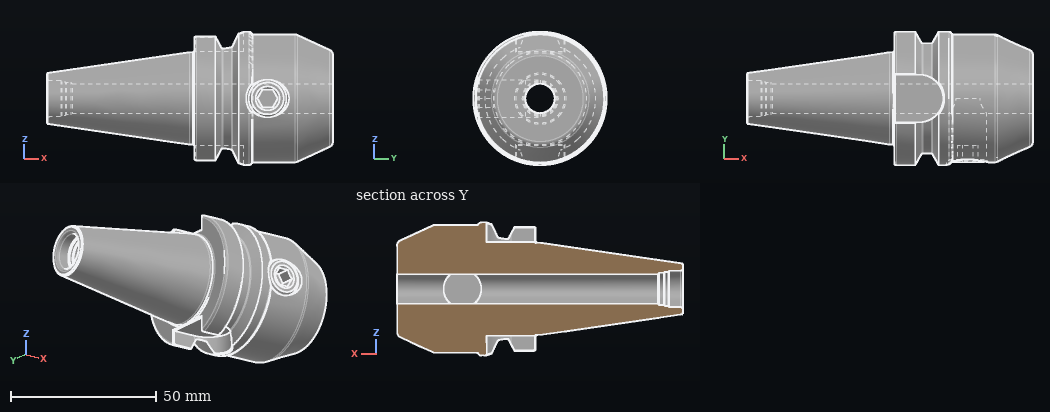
import cadquery as cq
import math


LENGTH = 98.6
MAX_DIAMETER = 46.0
MAX_RADIUS = MAX_DIAMETER / 2
BODY_RADIUS = 22.1

TAPER_LENGTH = 49.0
TAPER_SLOPE = 7 / 48
SHANK_END_RADIUS = 8.8
SHANK_END_CHAMFER = 0.4
NECK_FILLET = 0.5

FLANGE_START = 50.7
FLANGE_END = 58.0
FLANGE_FILLET = 0.8
COLLAR_START = 66.1
GROOVE_RADIUS = 19.0
GROOVE_FILLET = 0.4
FLANK_ANGLE = 60.0
COLLAR_END = 69.5
COLLAR_STEP_LENGTH = 1.5
COLLAR_STEP_SPLIT = 2 / 3

NOSE_START = 85.8
NOSE_ANGLE = 24.7
NOSE_START_FILLET = 2.2
NOSE_END_FILLET = 2.2

BORE_RADIUS = 5.0
PILOT_RADIUS = 6.2
BORE_STEPS = [(PILOT_RADIUS, 4.7), (5.8, 6.3), (5.5, 8.3), (BORE_RADIUS, LENGTH)]
PILOT_LIP_FILLET = 1.0

SLOT_HALF_WIDTH = 8.2
SLOT_TIP = 67.6
SLOT_FLOOR = 16.2
SLOT_CHAMFER = 0.4

SCREW_X = 76.0
SCREW_RADIUS = 6.5
SCREW_CHAMFER = 1.0
SCREW_RECESS = 0.1
SCREW_FACE = BODY_RADIUS - SCREW_RECESS
SCREW_TIP = BORE_RADIUS
COUNTERSINK_RADIUS = 7.4
HEX_ACROSS_FLATS = 6.1
HEX_DEPTH = 5.9
HEX_MOUTH_RADIUS = 4.1
HEX_MOUTH_ANGLE = 60.0

CUT_OVERRUN = 1.0
TOLERANCE = 0.01


def ring_edges(solid, x, radius):
    """Circular edges centred on the axis at station x with the given radius."""
    return solid.edges("%CIRCLE").filter(
        lambda edge: abs(edge.Center().x - x) < TOLERANCE and abs(edge.radius() - radius) < TOLERANCE
    )


def turned_blank():
    """Outside of the holder as one turned shape."""
    neck_radius = SHANK_END_RADIUS + TAPER_SLOPE * TAPER_LENGTH
    flank_run = (MAX_RADIUS - GROOVE_RADIUS) / math.tan(math.radians(FLANK_ANGLE))
    groove_start = FLANGE_END + flank_run
    groove_end = COLLAR_START - flank_run
    step_drop = MAX_RADIUS - BODY_RADIUS
    step_end = COLLAR_END + COLLAR_STEP_LENGTH
    nose_end_radius = BODY_RADIUS - (LENGTH - NOSE_START) * math.tan(math.radians(NOSE_ANGLE))

    blank = (
        cq.Workplane("XZ")
        .moveTo(0, 0)
        .lineTo(0, SHANK_END_RADIUS - SHANK_END_CHAMFER)
        .lineTo(SHANK_END_CHAMFER, SHANK_END_RADIUS + TAPER_SLOPE * SHANK_END_CHAMFER)
        .lineTo(TAPER_LENGTH, neck_radius)
        .lineTo(FLANGE_START, neck_radius)
        .lineTo(FLANGE_START, MAX_RADIUS)
        .lineTo(FLANGE_END, MAX_RADIUS)
        .lineTo(groove_start, GROOVE_RADIUS)
        .lineTo(groove_end, GROOVE_RADIUS)
        .lineTo(COLLAR_START, MAX_RADIUS)
        .lineTo(COLLAR_END, MAX_RADIUS)
        .tangentArcPoint(
            (COLLAR_STEP_LENGTH * COLLAR_STEP_SPLIT, -step_drop * COLLAR_STEP_SPLIT)
        )
        .tangentArcPoint((step_end, BODY_RADIUS), relative=False)
        .lineTo(NOSE_START, BODY_RADIUS)
        .lineTo(LENGTH, nose_end_radius)
        .lineTo(LENGTH, 0)
        .close()
        .revolve(360, (0, 0, 0), (1, 0, 0))
    )
    fillets = [
        (FLANGE_START, neck_radius, NECK_FILLET),
        (FLANGE_START, MAX_RADIUS, FLANGE_FILLET),
        (groove_start, GROOVE_RADIUS, GROOVE_FILLET),
        (groove_end, GROOVE_RADIUS, GROOVE_FILLET),
        (NOSE_START, BODY_RADIUS, NOSE_START_FILLET),
        (LENGTH, nose_end_radius, NOSE_END_FILLET),
    ]
    for x, edge_radius, fillet in fillets:
        blank = ring_edges(blank, x, edge_radius).fillet(fillet)
    return blank


def bore():
    """Through bore with a rounded lip at the shank end and 45 degree shoulders between its steps."""
    profile = (
        cq.Workplane("XZ")
        .moveTo(0, 0)
        .lineTo(0, PILOT_RADIUS + PILOT_LIP_FILLET)
        .radiusArc((PILOT_LIP_FILLET, PILOT_RADIUS), -PILOT_LIP_FILLET)
    )
    step_start = PILOT_LIP_FILLET
    last_radius = PILOT_RADIUS
    for radius, depth in BORE_STEPS:
        shoulder = last_radius - radius
        if shoulder > 0:
            profile = profile.lineTo(step_start + shoulder, radius)
        profile = profile.lineTo(depth, radius)
        step_start = depth
        last_radius = radius
    return profile.lineTo(LENGTH, 0).close().revolve(360, (0, 0, 0), (1, 0, 0))


def drive_slot():
    """Round-ended slot on the +Z side, open toward the shank."""
    arc_center = SLOT_TIP - SLOT_HALF_WIDTH
    return (
        cq.Workplane("XY")
        .workplane(offset=SLOT_FLOOR)
        .moveTo(FLANGE_START - CUT_OVERRUN, -SLOT_HALF_WIDTH)
        .lineTo(arc_center, -SLOT_HALF_WIDTH)
        .threePointArc((SLOT_TIP, 0), (arc_center, SLOT_HALF_WIDTH))
        .lineTo(FLANGE_START - CUT_OVERRUN, SLOT_HALF_WIDTH)
        .close()
        .extrude(MAX_RADIUS - SLOT_FLOOR + CUT_OVERRUN)
    )


def slot_rim_edges(solid):
    """Slot edges on the outer cylinder of the flange and the collar."""

    def on_rim(edge):
        middle = edge.positionAt(0.5)
        radius = math.hypot(middle.y, middle.z)
        return (abs(radius - MAX_RADIUS) < TOLERANCE
                and abs(middle.y) < SLOT_HALF_WIDTH + TOLERANCE
                and edge.geomType() != "CIRCLE"
                and FLANGE_START < middle.x < COLLAR_END)

    return solid.edges().filter(on_rim)


def slot_face_chamfer():
    """Tapered cutter that breaks the slot edges on the flange face."""
    bottom = SLOT_FLOOR - SLOT_CHAMFER
    height = MAX_RADIUS - bottom + CUT_OVERRUN
    return (
        cq.Workplane("YZ")
        .workplane(offset=FLANGE_START)
        .center(0, bottom + height / 2)
        .rect(2 * (SLOT_HALF_WIDTH + SLOT_CHAMFER), height)
        .extrude(SLOT_CHAMFER, taper=45)
    )


def screw_hole():
    """Radial hole from the axis out, with a 45 degree countersink at the body surface."""
    flare_top = MAX_RADIUS + CUT_OVERRUN
    return (
        cq.Workplane("XY")
        .moveTo(SCREW_X, 0)
        .lineTo(SCREW_X + SCREW_RADIUS, 0)
        .lineTo(SCREW_X + SCREW_RADIUS, -(BODY_RADIUS - COUNTERSINK_RADIUS + SCREW_RADIUS))
        .lineTo(SCREW_X + COUNTERSINK_RADIUS, -BODY_RADIUS)
        .lineTo(SCREW_X + COUNTERSINK_RADIUS, -flare_top)
        .lineTo(SCREW_X, -flare_top)
        .close()
        .revolve(360, (SCREW_X, 0, 0), (SCREW_X, 1, 0))
    )


def make_holder():
    """Turned body with its bore, two opposite drive slots and the screw hole."""
    holder = turned_blank().cut(bore())
    for angle in (0, 180):
        holder = holder.cut(drive_slot().rotate((0, 0, 0), (1, 0, 0), angle))
    holder = slot_rim_edges(holder).chamfer(SLOT_CHAMFER)
    for angle in (0, 180):
        holder = holder.cut(slot_face_chamfer().rotate((0, 0, 0), (1, 0, 0), angle))
    return holder.cut(screw_hole())


def make_screw():
    """Set screw with a chamfered outer face and a countersunk hex socket."""
    plane = cq.Plane(origin=(SCREW_X, -SCREW_FACE, 0), xDir=(1, 0, 0), normal=(0, -1, 0))
    outer_face = cq.Workplane(plane)
    hex_corner_radius = HEX_ACROSS_FLATS / math.sqrt(3)
    screw = (
        outer_face.circle(SCREW_RADIUS)
        .extrude(-(SCREW_FACE - SCREW_TIP))
        .faces("<Y").chamfer(SCREW_CHAMFER)
    )
    socket = outer_face.polygon(6, 2 * hex_corner_radius).extrude(-HEX_DEPTH)
    mouth_depth = HEX_MOUTH_RADIUS / math.tan(math.radians(HEX_MOUTH_ANGLE))
    mouth = cq.Workplane(cq.Solid.makeCone(HEX_MOUTH_RADIUS, 0, mouth_depth, plane.origin, -plane.zDir))
    return screw.cut(socket).cut(mouth)


holder = make_holder()
screw = make_screw()

result = cq.Compound.makeCompound([holder.val(), screw.val()])